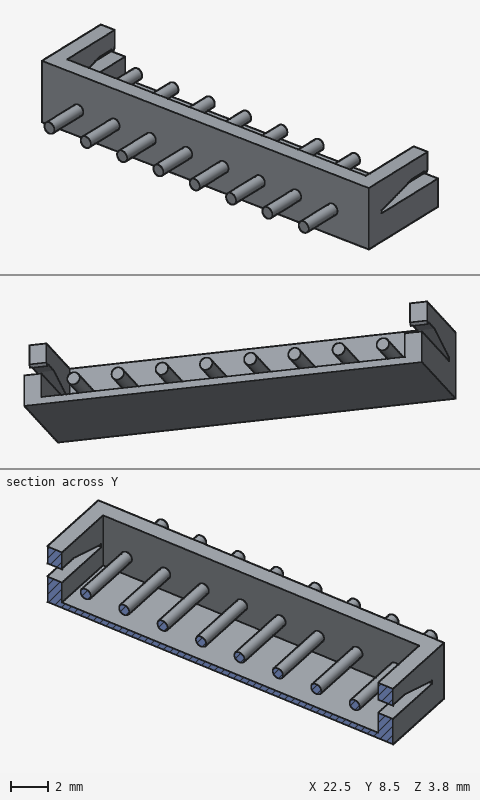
import cadquery as cq

length = 22.5
depth = 6.0
height = 3.8
wall = 0.97
floor_thickness = 0.4

ledge_height = 1.75
arm_setback = 0.9
slot_root_y = 1.12
slot_root_top = 1.94
ramp_end_y = 3.78
arm_underside = 2.7
barb_width = 0.27
barb_drop = 0.15

pin_count = 8
pin_pitch = length / (pin_count + 1)
pin_diameter = 0.7
pin_height = 1.62
pin_projection = 2.5

arm_end_y = depth - arm_setback


def make_housing():
    """Block hollowed from the top and back, leaving a floor and three walls."""
    block = cq.Workplane("XY").box(length, depth, height, centered=(True, False, False))
    cavity = (
        cq.Workplane("XY")
        .box(length - 2 * wall, depth - wall, height - floor_thickness, centered=(True, False, False))
        .translate((0, wall, floor_thickness))
    )
    return block.cut(cavity)


def make_latch_slot():
    """Tapered slot under the end-wall arms, with a small barb at each arm tip."""
    profile = [
        (slot_root_y, ledge_height),
        (depth, ledge_height),
        (depth, height),
        (arm_end_y, height),
        (arm_end_y, arm_underside),
        (arm_end_y - barb_width / 2, arm_underside - barb_drop),
        (arm_end_y - barb_width, arm_underside),
        (ramp_end_y, arm_underside),
        (slot_root_y, slot_root_top),
    ]
    return cq.Workplane("YZ").polyline(profile).close().extrude(length / 2, both=True)


def make_pins():
    """Pins passing through the front wall and ending level with the arms."""
    row_half = (pin_count - 1) * pin_pitch / 2
    centers = [(i * pin_pitch - row_half, pin_height) for i in range(pin_count)]
    return (
        cq.Workplane("XZ", origin=(0, -pin_projection, 0))
        .pushPoints(centers)
        .circle(pin_diameter / 2)
        .extrude(-(pin_projection + arm_end_y))
    )


result = make_housing().cut(make_latch_slot()).union(make_pins())